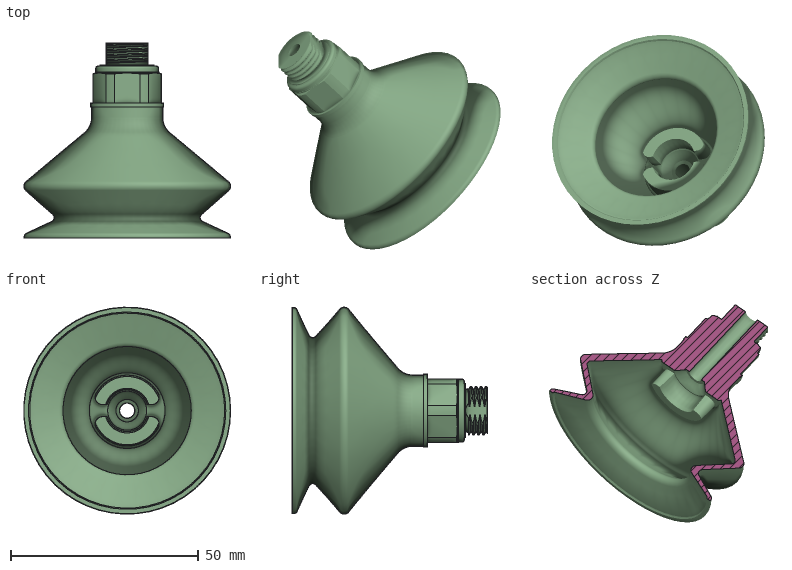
import cadquery as cq
import math


flange_start = 35.0
hex_start = 36.0
hex_end = 44.0
ring_end = 44.35
collar_end = 45.9
step_end = 46.15
thread_start = 47.0
overall_length = 52.0

neck_diameter = 19.0
flange_diameter = 19.5
hex_across_flats = 17.0
hex_corner_diameter = 18.28
hex_chamfer_height = 0.2
ring_diameter = 17.0
collar_diameter = 16.8
collar_edge_radius = 0.7
step_diameter = 14.4

thread_diameter = 12.9
thread_pitch = 1.337
thread_depth = 0.73
thread_crest_width = 0.3
thread_flats_width = 11.2
thread_end_chamfer = 0.25
undercut_start_diameter = 11.8
undercut_end_diameter = 11.2

lip_diameter = 55.0
lip_corner_height = 1.0
lip_radius = 1.0
waist_corner = (18.55, 5.18)
waist_radius = 1.14
belly_corner = (28.4, 13.88)
belly_radius = 1.52
shoulder_height = 29.65
shoulder_radius = 5.2

mouth_diameter = 52.6
mouth_inner_diameter = 52.0
mouth_chamfer_height = 0.5
inner_waist_corner = (15.72, 4.7)
inner_waist_radius = 1.6
inner_belly_corner = (25.5, 13.4)
inner_belly_radius = 1.0

floor_height = 26.3
boss_diameter = 20.2
boss_height = 0.55
boss_edge_radius = 0.54
boss_root = 0.8
pad_height = 5.7
pad_outer_diameter = 18.2
pad_inner_diameter = 11.9
pad_draft = 0.37
pad_gap = 3.2
pad_end_radius = 2.0

bore_diameter = 4.0
funnel_diameter = 10.4
funnel_floor_diameter = 6.0
funnel_depth = 2.2


def corner_arc(before, corner, after, radius):
    """Return the start, middle and end of the arc that rounds a corner."""
    corner_v = cq.Vector(*corner)
    to_before = (cq.Vector(*before) - corner_v).normalized()
    to_after = (cq.Vector(*after) - corner_v).normalized()
    half_angle = to_before.getAngle(to_after) / 2
    tangent_length = radius / math.tan(half_angle)
    middle_distance = radius / math.sin(half_angle) - radius
    start = corner_v + to_before * tangent_length
    middle = corner_v + (to_before + to_after).normalized() * middle_distance
    end = corner_v + to_after * tangent_length
    return [(p.x, p.y) for p in (start, middle, end)]


def revolve_profile(corners):
    """Revolve a closed outline of (r, y, rounding radius) corners about the Y axis."""
    points = [(r, y) for r, y, _ in corners]
    outline = cq.Workplane("XY").moveTo(*points[0])
    for i in range(1, len(corners)):
        radius = corners[i][2]
        if radius == 0:
            outline = outline.lineTo(*points[i])
            continue
        following = points[(i + 1) % len(points)]
        start, middle, end = corner_arc(points[i - 1], points[i], following, radius)
        outline = outline.lineTo(*start).threePointArc(middle, end)
    return outline.close().revolve(360, (0, 0, 0), (0, 1, 0))


def cylinder(diameter, start, end):
    """Return a cylinder on the Y axis between two stations."""
    return cq.Workplane("XZ", origin=(0, start, 0)).circle(diameter / 2).extrude(start - end)


def make_bellows():
    outer = revolve_profile([
        (0, 0, 0),
        (lip_diameter / 2, 0, 0),
        (lip_diameter / 2, lip_corner_height, lip_radius),
        (*waist_corner, waist_radius),
        (*belly_corner, belly_radius),
        (neck_diameter / 2, shoulder_height, shoulder_radius),
        (neck_diameter / 2, flange_start, 0),
        (0, flange_start, 0),
    ])
    cavity = revolve_profile([
        (0, 0, 0),
        (mouth_diameter / 2, 0, 0),
        (mouth_inner_diameter / 2, mouth_chamfer_height, 0),
        (*inner_waist_corner, inner_waist_radius),
        (*inner_belly_corner, inner_belly_radius),
        (boss_diameter / 2, floor_height, 0),
        (0, floor_height, 0),
    ])
    return outer.cut(cavity)


def make_boss():
    face = floor_height - boss_height
    boss = cylinder(boss_diameter, face, floor_height + boss_root)
    return boss.faces("<Y").edges().fillet(boss_edge_radius)


def make_pads():
    face = floor_height - boss_height
    top = face - pad_height
    outer_radius = pad_outer_diameter / 2
    inner_radius = pad_inner_diameter / 2
    ring = revolve_profile([
        (inner_radius, top, 0),
        (outer_radius, top, 0),
        (outer_radius + pad_draft, face, 0),
        (inner_radius - pad_draft, face, 0),
    ])
    foot_radius = outer_radius + pad_draft
    gap = cq.Workplane("XY").box(lip_diameter, 2 * overall_length, pad_gap)
    halves = cylinder(2 * foot_radius, top, face).cut(gap).edges("|Y").fillet(pad_end_radius)
    return ring.intersect(halves)


def make_hexagon():
    corner_circle = hex_across_flats / math.cos(math.pi / 6)
    prism = (
        cq.Workplane("XZ", origin=(0, hex_start, 0))
        .polygon(6, corner_circle)
        .extrude(hex_start - hex_end)
    )
    rounding = revolve_profile([
        (0, hex_start, 0),
        (hex_corner_diameter / 2, hex_start, 0),
        (hex_corner_diameter / 2, hex_end - hex_chamfer_height, 0),
        (hex_across_flats / 2, hex_end, 0),
        (0, hex_end, 0),
    ])
    return prism.intersect(rounding)


def make_collar():
    flange = cylinder(flange_diameter, flange_start, hex_start)
    ring = cylinder(ring_diameter, hex_end, ring_end)
    collar = cylinder(collar_diameter, ring_end, collar_end).faces(">Y").edges().fillet(collar_edge_radius)
    step = cylinder(step_diameter, collar_end, step_end)
    return flange.union(ring).union(collar).union(step)


def make_thread():
    crest_radius = thread_diameter / 2
    root_radius = crest_radius - thread_depth
    stem = revolve_profile([
        (0, step_end, 0),
        (undercut_end_diameter / 2, step_end, 0),
        (undercut_start_diameter / 2, thread_start, 0),
        (crest_radius, thread_start, 0),
        (crest_radius, overall_length - thread_end_chamfer, 0),
        (crest_radius - thread_end_chamfer, overall_length, 0),
        (0, overall_length, 0),
    ])
    overrun = 0.1
    half_root = 0.1
    half_crest = (thread_pitch - thread_crest_width) / 2
    half_top = half_crest + overrun * (half_crest - half_root) / thread_depth
    start = thread_start - thread_pitch
    length = overall_length - thread_start + 2 * thread_pitch
    helix = cq.Wire.makeHelix(
        thread_pitch, length, root_radius, center=cq.Vector(0, start, 0), dir=cq.Vector(0, 1, 0)
    )
    begin = helix.startPoint()
    radial = cq.Vector(begin.x, 0, begin.z).normalized()
    plane = cq.Plane(origin=begin, xDir=radial, normal=radial.cross(cq.Vector(0, 1, 0)))
    top = thread_depth + overrun
    groove = (
        cq.Workplane(plane)
        .polyline([(0, -half_root), (top, -half_top), (top, half_top), (0, half_root)])
        .close()
        .sweep(cq.Workplane(helix), isFrenet=True)
    )
    flats = cq.Workplane("XY").box(thread_flats_width, 2 * overall_length, 2 * thread_diameter)
    return stem.cut(groove).intersect(flats)


def make_bore():
    face = floor_height - boss_height - pad_height
    funnel_top = floor_height - boss_height
    funnel_end = funnel_top + funnel_depth
    return revolve_profile([
        (0, face, 0),
        (funnel_diameter / 2, face, 0),
        (funnel_diameter / 2, funnel_top, 0),
        (funnel_floor_diameter / 2, funnel_end, 0),
        (bore_diameter / 2, funnel_end, 0),
        (bore_diameter / 2, overall_length, 0),
        (0, overall_length, 0),
    ])


result = (
    make_bellows()
    .union(make_boss())
    .union(make_pads())
    .union(make_hexagon())
    .union(make_collar())
    .union(make_thread())
    .cut(make_bore())
)